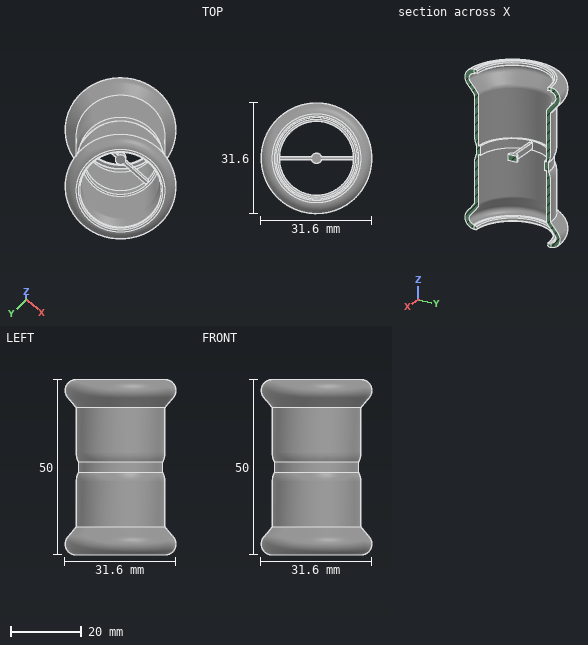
import cadquery as cq
import math

HALF_LENGTH = 25.0
BODY_RADIUS = 12.65
BORE_RADIUS = 11.1
WALL = BODY_RADIUS - BORE_RADIUS

BEAD_RADIUS = 3.15
FLARE_ANGLE = math.radians(40)

WAIST_RADIUS = 12.0
WAIST_BORE_RADIUS = 10.5
WAIST_HALF_HEIGHT = 1.45
SHOULDER_HEIGHT = 2.55

WEB_THICKNESS = 0.9
WEB_HEIGHT = 2.0
HUB_DIAMETER = 3.0

RING_BORE_RADIUS = 11.6
RING_HEIGHT = 1.2
RING_CHAMFER = 0.4


def on_arc(center, radius, angle):
    """Point (r, z) on a circle, with the angle measured downward from the outward direction."""
    return (center[0] + radius * math.cos(angle), center[1] - radius * math.sin(angle))


def make_upper_socket():
    """Pipe wall above the waist, revolved from its (r, z) section."""
    bead_center = (BODY_RADIUS, HALF_LENGTH - BEAD_RADIUS)
    bead_inner_radius = BEAD_RADIUS - WALL
    middle_angle = (FLARE_ANGLE - math.pi / 2) / 2

    flare_start = on_arc(bead_center, BEAD_RADIUS, FLARE_ANGLE)
    flare_height = (flare_start[0] - BODY_RADIUS) / math.tan(FLARE_ANGLE)
    corner = (BODY_RADIUS, flare_start[1] - flare_height)

    shoulder_top = WAIST_HALF_HEIGHT + SHOULDER_HEIGHT
    shoulder_depth = BODY_RADIUS - WAIST_RADIUS
    shoulder_radius = (SHOULDER_HEIGHT**2 + shoulder_depth**2) / (2 * shoulder_depth)
    shoulder_center = (BODY_RADIUS - shoulder_radius, shoulder_top)
    shoulder_middle_angle = math.asin(SHOULDER_HEIGHT / shoulder_radius) / 2

    section = (
        cq.Workplane("XZ")
        .moveTo(WAIST_RADIUS, WAIST_HALF_HEIGHT)
        .threePointArc(
            on_arc(shoulder_center, shoulder_radius, shoulder_middle_angle),
            (BODY_RADIUS, shoulder_top),
        )
        .lineTo(*corner)
        .lineTo(*flare_start)
        .threePointArc(on_arc(bead_center, BEAD_RADIUS, middle_angle), (BODY_RADIUS, HALF_LENGTH))
        .lineTo(BODY_RADIUS, HALF_LENGTH - WALL)
        .threePointArc(
            on_arc(bead_center, bead_inner_radius, middle_angle),
            on_arc(bead_center, bead_inner_radius, FLARE_ANGLE),
        )
        .lineTo(*on_arc(corner, WALL, math.pi + FLARE_ANGLE))
        .threePointArc(
            on_arc(corner, WALL, math.pi + FLARE_ANGLE / 2),
            (BORE_RADIUS, corner[1]),
        )
        .lineTo(BORE_RADIUS, WAIST_HALF_HEIGHT)
        .close()
    )
    return section.revolve(360, (0, 0, 0), (0, 1, 0))


def make_waist():
    """Straight narrow ring whose flat faces stop the inserted tubes."""
    floor = cq.Workplane("XY").workplane(offset=-WAIST_HALF_HEIGHT)
    return floor.circle(WAIST_RADIUS).circle(WAIST_BORE_RADIUS).extrude(2 * WAIST_HALF_HEIGHT)


def make_web():
    """Bar across the waist bore with a round hub; its ends run into the waist wall."""
    bar_length = WAIST_BORE_RADIUS + WAIST_RADIUS
    bar = cq.Workplane("XY").box(bar_length, WEB_THICKNESS, WEB_HEIGHT)
    hub = cq.Workplane("XY").cylinder(WEB_HEIGHT, HUB_DIAMETER / 2)
    return bar.union(hub)


def make_housing():
    """Pipe with a bead at each end, joined to the web in its waist."""
    upper_socket = make_upper_socket()
    lower_socket = upper_socket.mirror("XY")
    return make_waist().union(upper_socket).union(lower_socket).union(make_web())


def make_end_ring():
    """Ring flush with the upper end, with a chamfered mouth."""
    return (
        cq.Workplane("XY")
        .workplane(offset=HALF_LENGTH - RING_HEIGHT)
        .circle(BODY_RADIUS)
        .circle(RING_BORE_RADIUS)
        .extrude(RING_HEIGHT)
        .faces(">Z")
        .edges(cq.selectors.RadiusNthSelector(0))
        .chamfer(RING_CHAMFER)
    )


housing = make_housing()

end_rings = []
for turn in (0, 180):
    end_rings.append(make_end_ring().rotate((0, 0, 0), (1, 0, 0), turn))

result = cq.Compound.makeCompound([housing.solids().val(), *[ring.solids().val() for ring in end_rings]])